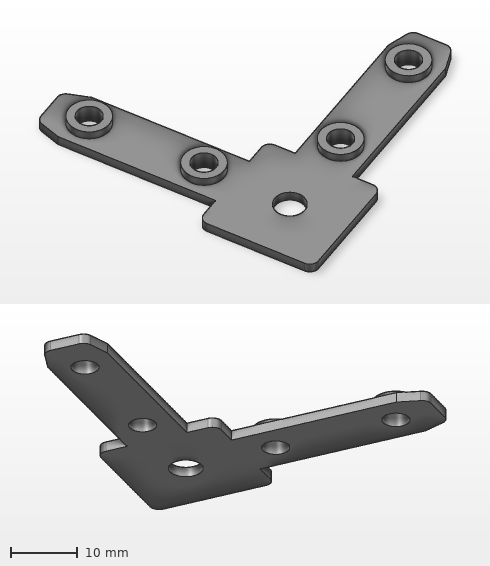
import cadquery as cq

overall_length = 52.0
plate_thickness = 1.6
total_height = 3.0

plate_side = 20.0
plate_corner_radius = 1.5
center_hole_diameter = 5.2

arm_width = 10.0
arm_reach = overall_length - plate_side / 2
taper_length = 4.45
taper_inset = 1.5
tip_radius = 1.5

boss_diameter = 7.0
boss_hole_diameter = 4.2
first_boss_distance = 15.0
boss_spacing = 20.0
boss_distances = [first_boss_distance, first_boss_distance + boss_spacing]

arm_angles = [90, 180]


def corner_plate():
    return (
        cq.Workplane("XY")
        .rect(plate_side, plate_side)
        .extrude(plate_thickness)
        .edges("|Z")
        .fillet(plate_corner_radius)
    )


def arm():
    """Flat arm along +X with a tapered, rounded tip and two raised ring bosses."""
    half_width = arm_width / 2
    tip_half_width = half_width - taper_inset
    taper_start = arm_reach - taper_length
    bar = (
        cq.Workplane("XY")
        .moveTo(0, -half_width)
        .lineTo(taper_start, -half_width)
        .lineTo(arm_reach, -tip_half_width)
        .lineTo(arm_reach, tip_half_width)
        .lineTo(taper_start, half_width)
        .lineTo(0, half_width)
        .close()
        .extrude(plate_thickness)
        .edges("|Z and >X")
        .fillet(tip_radius)
    )
    boss_centers = [(distance, 0) for distance in boss_distances]
    bosses = cq.Workplane("XY").pushPoints(boss_centers).circle(boss_diameter / 2).extrude(total_height)
    holes = cq.Workplane("XY").pushPoints(boss_centers).circle(boss_hole_diameter / 2).extrude(total_height)
    return bar.union(bosses).cut(holes)


result = corner_plate()
for angle in arm_angles:
    result = result.union(arm().rotate((0, 0, 0), (0, 0, 1), angle))

center_hole = cq.Workplane("XY").circle(center_hole_diameter / 2).extrude(plate_thickness)
result = result.cut(center_hole)